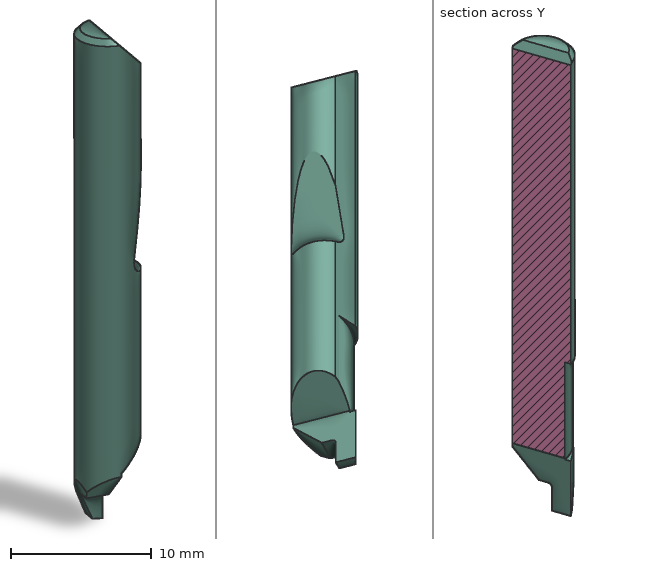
import cadquery as cq
import math

length = 38.1
radius = 2.38
top_chamfer = 0.42
margin = 1.9
reach = radius + margin

top_bevel_height = 2.95
bottom_bevel_z = 7.05
notch_floor_z = 19.62
notch_top_z = 28.4
notch_angle = 9.5
notch_fillet = 1.0

flat_distance = 2.17
flat_angle = 26.0

hollow_bottom_z = 4.57
hollow_top_z = 12.65
hollow_depth = 0.45
hollow_radius = 4.75

flank_end_y = -1.65
front_bevel_z = 3.65
tip_depth = 0.78
tip_rise = 0.095
neck_x = -0.85
step_z = 2.25
step_fillet = 0.3
side_bevel_z = 4.42


def cut_along_x(points):
    """Prism of a (y, z) outline, passing right through the shank along X."""
    return cq.Workplane("YZ").polyline(points).close().extrude(reach, both=True)


def shank():
    return cq.Workplane("XY").circle(radius).extrude(length).faces(">Z").chamfer(top_chamfer)


def long_flat():
    block = cq.Workplane("XY").box(margin, 2 * reach, length, centered=(False, True, False))
    block = block.translate((-flat_distance - margin, 0, 0))
    return block.rotate((0, 0, 0), (0, 0, 1), -flat_angle)


def top_bevel():
    start_z = length - top_bevel_height
    return cut_along_x([
        (radius - top_bevel_height - margin, length + margin),
        (reach, length + margin),
        (reach, start_z - margin),
    ])


def back_notch():
    slope = math.tan(math.radians(notch_angle))
    corner_y = radius - (notch_top_z - notch_floor_z) * slope
    notch = cut_along_x([
        (corner_y, notch_floor_z),
        (reach, notch_floor_z),
        (reach, notch_top_z + margin / slope),
    ])
    return notch.edges("<Y").fillet(notch_fillet)


def tip_back():
    """Space behind the flat cutting face, below the lower back bevel."""
    return cut_along_x([
        (0, -margin),
        (0, bottom_bevel_z - radius),
        (reach, bottom_bevel_z + margin),
        (reach, -margin),
    ])


def side_hollow():
    floor_x = -radius + hollow_depth
    height = hollow_top_z - hollow_bottom_z
    plane = cq.Workplane("XY", origin=(0, 0, hollow_bottom_z))
    outside = plane.rect(2 * reach, 2 * reach).extrude(height)
    keep = plane.center(floor_x + hollow_radius, 0).circle(hollow_radius).extrude(height)
    return outside.cut(keep).intersect(
        plane.center(-reach / 2, 0).rect(reach, 2 * reach).extrude(height)
    )


def relief_flank():
    end_x = -math.sqrt(radius**2 - flank_end_y**2)
    outline = [(-radius, 0), (end_x, flank_end_y), (-reach, flank_end_y)]
    return cq.Workplane("XY").polyline(outline).close().extrude(hollow_bottom_z)


def tip_end():
    """Sloped end face and the bevel rising from it to the front of the shank."""
    bevel_slope = (front_bevel_z - tip_rise) / (radius - tip_depth)
    return cut_along_x([
        (0, -margin),
        (0, 0),
        (-tip_depth, tip_rise),
        (-reach, front_bevel_z + margin * bevel_slope),
        (-reach, -margin),
    ])


def tip_side():
    """Step beside the tip and the 45 degree bevel up to the +X side."""
    bevel_start_x = radius - (side_bevel_z - step_z)
    outline = [
        (neck_x, -margin),
        (neck_x, step_z),
        (bevel_start_x, step_z),
        (reach, side_bevel_z + margin),
        (reach, -margin),
    ]
    cutter = cq.Workplane("XZ").polyline(outline).close().extrude(reach, both=True)
    inner_corner = cq.selectors.NearestToPointSelector((neck_x, 0, step_z))
    return cutter.edges("|Y").edges(inner_corner).fillet(step_fillet)


result = shank()
for cutter in (
    long_flat(),
    top_bevel(),
    back_notch(),
    tip_back(),
    side_hollow(),
    relief_flank(),
    tip_end(),
    tip_side(),
):
    result = result.cut(cutter)